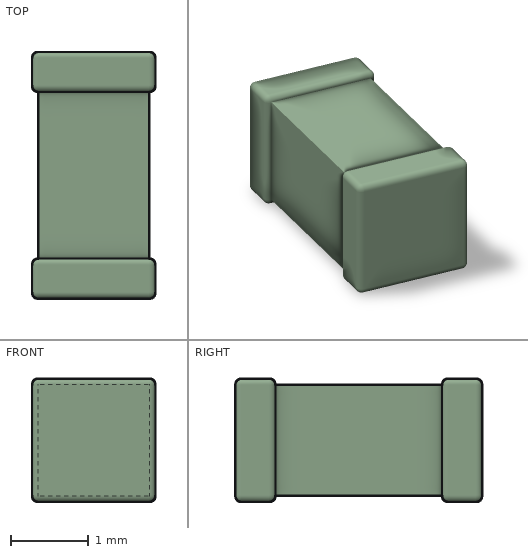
import cadquery as cq

length = 3.2
cap_width = 1.6
cap_length = 0.52
edge_radius = 0.08

body_width = cap_width - 2 * edge_radius
body_length = length - cap_length


def end_cap(side):
    """Rounded cap at the -Y (side = -1) or +Y (side = 1) end."""
    center_y = side * (length - cap_length) / 2
    cap = cq.Workplane("XY").box(cap_width, cap_length, cap_width)
    return cap.edges().fillet(edge_radius).translate((0, center_y, 0))


result = cq.Workplane("XY").box(body_width, body_length, body_width)
for side in (-1, 1):
    result = result.union(end_cap(side))